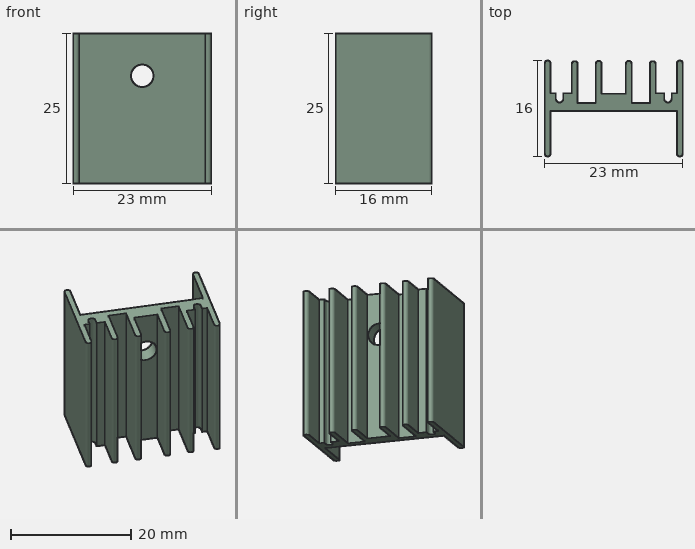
import cadquery as cq

length = 25.0
width = 23.0
depth = 16.0
fin_thickness = 1.0

back_tip_y = depth / 2
web_front_y = -0.42
valley_floor_y = 0.92
center_floor_y = 2.48
outer_floor_y = 2.55

outer_fin_x = (width - fin_thickness) / 2
middle_fin_x = 6.5
inner_fin_x = 2.5
middle_tip_y = 7.9
inner_tip_y = 7.95

groove_x = 9.02
groove_width = 1.2
groove_bottom_y = 1.02

hole_diameter = 3.7
hole_z = 5.45


def block(x_min, x_max, y_min, y_max):
    """Full-length rectangular bar, centered on Z = 0."""
    bar = cq.Workplane("XY").box(x_max - x_min, y_max - y_min, length)
    return bar.translate(((x_min + x_max) / 2, (y_min + y_max) / 2, 0))


def fin(x, y_min, y_max):
    """Full-length plate with fully rounded Y ends."""
    return (
        cq.Workplane("XY", origin=(x, (y_min + y_max) / 2, -length / 2))
        .slot2D(y_max - y_min, fin_thickness, 90)
        .extrude(length)
    )


def groove_cutter(x, y_bottom, y_top):
    """Cutter for a groove with a semicircular bottom."""
    radius = groove_width / 2
    return (
        cq.Workplane("XY", origin=(0, 0, -length / 2))
        .moveTo(x - radius, y_top)
        .lineTo(x - radius, y_bottom + radius)
        .threePointArc((x, y_bottom), (x + radius, y_bottom + radius))
        .lineTo(x + radius, y_top)
        .close()
        .extrude(length)
    )


result = block(-outer_fin_x, outer_fin_x, web_front_y, valley_floor_y)
result = result.union(block(-inner_fin_x, inner_fin_x, web_front_y, center_floor_y))

for side in (-1, 1):
    floor_ends = sorted((side * middle_fin_x, side * outer_fin_x))
    result = result.union(block(*floor_ends, web_front_y, outer_floor_y))

    result = result.union(fin(side * outer_fin_x, -depth / 2, back_tip_y))
    result = result.union(fin(side * middle_fin_x, web_front_y, middle_tip_y))
    result = result.union(fin(side * inner_fin_x, web_front_y, inner_tip_y))

    result = result.cut(groove_cutter(side * groove_x, groove_bottom_y, outer_floor_y))

hole = (
    cq.Workplane("XZ", origin=(0, 0, hole_z))
    .circle(hole_diameter / 2)
    .extrude(depth / 2, both=True)
)
result = result.cut(hole)